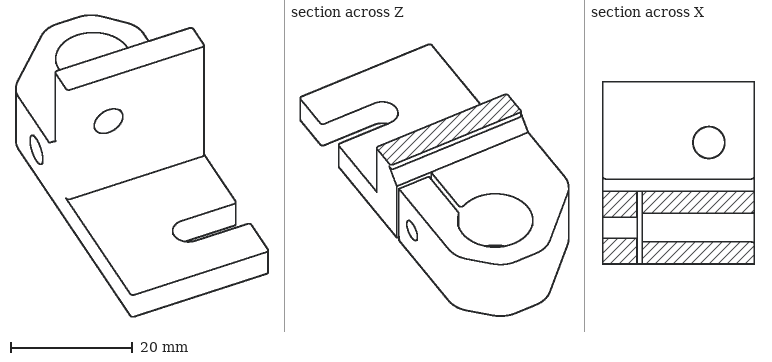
import cadquery as cq

length = 57.0
width = 25.0
height = 30.0

block_height = 12.0
front_corner_cut = 11.0
back_corner_cut = 6.0
block_corner_radius = 5.0
bore_diameter = 12.4
bore_x = 10.0
bore_y = 15.0

slit_width = 0.8
slit_y = 18.5
slit_end_x = 25.0
slit_exit_width = 0.7
slit_lip_radius = 0.5

wall_x = 27.0
wall_thickness = 5.0
plate_thickness = 5.0
edge_radius = 0.5
gusset_size = 2.0

screw_x = 20.0
screw_z = block_height / 2
body_hole_diameter = 4.7
jaw_hole_diameter = 3.5
mouth_diameter = 5.0
mouth_depth = 0.5

mount_diameter = 5.2
wall_hole_y = 7.5
wall_hole_z = 20.0
slot_x = 47.0
slot_y = 15.0


def make_block():
    """Clamp block with two corners cut at 45 degrees and rounded."""
    outline = [
        (wall_x, 0),
        (front_corner_cut, 0),
        (0, front_corner_cut),
        (0, width - back_corner_cut),
        (back_corner_cut, width),
        (wall_x, width),
    ]
    block = cq.Workplane("XY").polyline(outline).close().extrude(block_height)
    return block.edges("|Z and (not >X)").fillet(block_corner_radius)


def make_plate():
    """Base plate with its outer end corners rounded and an open slot."""
    plate = cq.Workplane("XY").box(length - wall_x, width, plate_thickness, centered=False)
    plate = plate.translate((wall_x, 0, 0))
    slot_end = cq.Workplane("XY").center(slot_x, slot_y).circle(mount_diameter / 2)
    slot_sides = (
        cq.Workplane("XY")
        .center(slot_x, (slot_y + width) / 2)
        .rect(mount_diameter, width - slot_y)
    )
    plate = plate.cut(slot_end.extrude(plate_thickness)).cut(slot_sides.extrude(plate_thickness))
    end_corners = plate.edges("|Z").edges(">X")
    slot_corners = plate.edges("|Z").edges(
        cq.selectors.BoxSelector(
            (slot_x - mount_diameter, width - edge_radius, 0),
            (slot_x + mount_diameter, width + edge_radius, plate_thickness),
        )
    )
    return plate.newObject(end_corners.vals() + slot_corners.vals()).fillet(edge_radius)


def make_wall():
    """Upright wall with rounded vertical edges, on a square-edged foot."""
    foot = cq.Workplane("XY").box(wall_thickness, width, plate_thickness, centered=False)
    wall = cq.Workplane("XY").box(wall_thickness, width, height, centered=False)
    wall = wall.edges("|Z").fillet(edge_radius)
    return wall.union(foot).translate((wall_x, 0, 0))


def make_gusset():
    """Square-edged 45 degree gusset, run into the wall behind its rounded edges."""
    buried_x = wall_x + edge_radius
    outline = [
        (wall_x - gusset_size, 0),
        (buried_x, 0),
        (buried_x, block_height + gusset_size + edge_radius),
        (wall_x - gusset_size, block_height),
    ]
    return cq.Workplane("XZ").polyline(outline).close().extrude(-width)


def cut_bore_and_slit(body):
    """Rod bore, the slit leading from it to the back, and rounded lips where they meet."""
    bore = cq.Workplane("XY").center(bore_x, bore_y).circle(bore_diameter / 2).extrude(block_height)
    slit = cq.Workplane("XY").box(slit_end_x - bore_x, slit_width, block_height, centered=False)
    slit = slit.translate((bore_x, slit_y, 0))
    slit_exit = cq.Workplane("XY").box(slit_exit_width, width - slit_y, block_height, centered=False)
    slit_exit = slit_exit.translate((slit_end_x - slit_exit_width, slit_y, 0))
    body = body.cut(bore).cut(slit).cut(slit_exit)
    bore_radius = bore_diameter / 2
    lips = cq.selectors.BoxSelector(
        (bore_x, slit_y - slit_width, 0),
        (bore_x + bore_radius, slit_y + 2 * slit_width, block_height),
    )
    return body.edges("|Z").edges(lips).fillet(slit_lip_radius)


def cut_screw_hole(body):
    """Clamp screw hole: wide up to the slit, narrow through the jaw, with a bevelled mouth."""
    plane = cq.Workplane("XZ").center(screw_x, screw_z)
    jaw_hole = plane.circle(jaw_hole_diameter / 2).extrude(-width)
    body_hole = plane.circle(body_hole_diameter / 2).extrude(-slit_y)
    mouth = (
        plane.circle(mouth_diameter / 2)
        .workplane(offset=-mouth_depth)
        .circle(body_hole_diameter / 2)
        .loft()
    )
    return body.cut(jaw_hole).cut(body_hole).cut(mouth)


def cut_wall_hole(body):
    """Mounting hole through the upright wall."""
    hole = cq.Workplane("YZ", origin=(wall_x, 0, 0)).center(wall_hole_y, wall_hole_z)
    return body.cut(hole.circle(mount_diameter / 2).extrude(wall_thickness))


body = make_block().union(make_plate()).union(make_wall()).union(make_gusset())
body = cut_bore_and_slit(body)
body = cut_screw_hole(body)
result = cut_wall_hole(body)